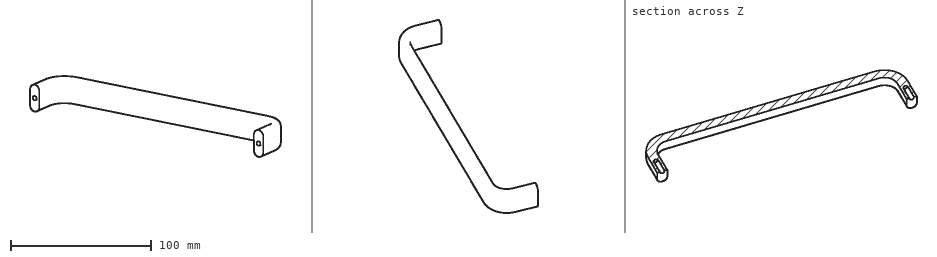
import cadquery as cq
import math

length = 200.0
projection = 35.0
height = 20.0

bar_thickness = 8.0

bend_outer_radius = 18.0
bend_radius = bend_outer_radius - bar_thickness / 2

hole_diameter = 3.24
hole_depth = 12.0
drill_point_angle = 118.0

leg_x = (length - bar_thickness) / 2
foot_y = -projection / 2
grip_y = projection / 2 - bar_thickness / 2
bend_start_y = grip_y - bend_radius
bend_end_x = leg_x - bend_radius


def make_centreline():
    """U-shaped path from the left foot, along the grip, to the right foot."""
    return (
        cq.Workplane("XY")
        .moveTo(-leg_x, foot_y)
        .lineTo(-leg_x, bend_start_y)
        .radiusArc((-bend_end_x, grip_y), bend_radius)
        .lineTo(bend_end_x, grip_y)
        .radiusArc((leg_x, bend_start_y), bend_radius)
        .lineTo(leg_x, foot_y)
    )


def make_bar():
    """Sweep the round-edged section along the centreline."""
    section = (
        cq.Workplane("XZ", origin=(-leg_x, foot_y, 0))
        .slot2D(height, bar_thickness, angle=90)
    )
    return section.sweep(make_centreline())


def make_screw_hole(x):
    """Blind hole cutter entering a foot along +Y, ending in a cone."""
    radius = hole_diameter / 2
    tip_length = radius / math.tan(math.radians(drill_point_angle / 2))
    half_profile = (
        cq.Workplane("XY", origin=(x, foot_y, 0))
        .lineTo(radius, 0)
        .lineTo(radius, hole_depth)
        .lineTo(0, hole_depth + tip_length)
        .close()
    )
    return half_profile.revolve(360, (0, 0), (0, 1))


result = make_bar()
for x in (-leg_x, leg_x):
    result = result.cut(make_screw_hole(x))